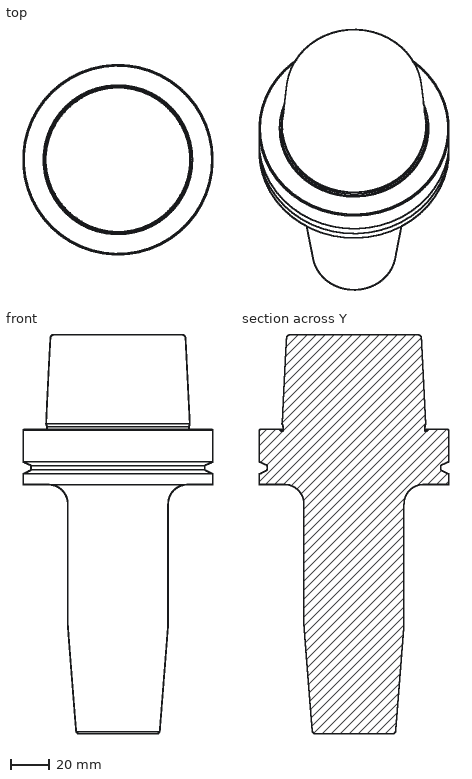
import cadquery as cq
import math

total_length = 210.0

taper_length = 49.7
taper_base_radius = 38.0
taper_slope = 0.05
taper_end_round = 2.0

neck_height = 2.7
neck_radius = 37.4
face_groove_radius = 39.3
face_groove_depth = 0.8

flange_radius = 50.0
flange_thickness = 29.2
flange_chamfer = 0.6
groove_top_offset = 17.2
groove_floor_offset = 19.0
groove_floor_width = 2.3
groove_width = 6.3
groove_depth = 4.2

shank_radius = 26.5
shank_fillet = 10.0
nose_length = 57.3
nose_angle = 4.5
nose_chamfer = 1.0

face_z = total_length - taper_length
flange_bottom = face_z - flange_thickness
groove_top = face_z - groove_top_offset
groove_bottom = groove_top - groove_width
floor_top = face_z - groove_floor_offset
floor_bottom = floor_top - groove_floor_width
groove_floor_radius = flange_radius - groove_depth


def nose_radius(z):
    return shank_radius - (nose_length - z) * math.tan(math.radians(nose_angle))


def taper_radius(z):
    return taper_base_radius - (z - face_z) * taper_slope


def make_body():
    """Revolve the half profile from the nose up to the closed taper end."""
    round_start = total_length - taper_end_round
    round_radius = taper_radius(round_start)
    neck_top = face_z + neck_height
    fillet_start = flange_bottom - shank_fillet
    fillet_center_radius = shank_radius + shank_fillet
    fillet_mid = (
        fillet_center_radius - shank_fillet * math.cos(math.pi / 4),
        fillet_start + shank_fillet * math.sin(math.pi / 4),
    )
    round_mid = (
        round_radius - taper_end_round * (1 - math.cos(math.pi / 4)),
        round_start + taper_end_round * math.sin(math.pi / 4),
    )

    profile = (
        cq.Workplane("XZ")
        .lineTo(nose_radius(0) - nose_chamfer, 0)
        .lineTo(nose_radius(nose_chamfer), nose_chamfer)
        .lineTo(shank_radius, nose_length)
        .lineTo(shank_radius, fillet_start)
        .threePointArc(fillet_mid, (fillet_center_radius, flange_bottom))
        .lineTo(flange_radius, flange_bottom)
        .lineTo(flange_radius, groove_bottom)
        .lineTo(groove_floor_radius, floor_bottom)
        .lineTo(groove_floor_radius, floor_top)
        .lineTo(flange_radius, groove_top)
        .lineTo(flange_radius, face_z - flange_chamfer)
        .lineTo(flange_radius - flange_chamfer, face_z)
        .lineTo(face_groove_radius, face_z)
        .lineTo(face_groove_radius - face_groove_depth, face_z - face_groove_depth)
        .lineTo(neck_radius, face_z - face_groove_depth)
        .lineTo(neck_radius, face_z + neck_height / 2)
        .lineTo(taper_radius(neck_top), neck_top)
        .lineTo(round_radius, round_start)
        .threePointArc(round_mid, (round_radius - taper_end_round, total_length))
        .lineTo(0, total_length)
        .close()
    )
    return profile.revolve(360, (0, 0, 0), (0, 1, 0))


result = make_body()